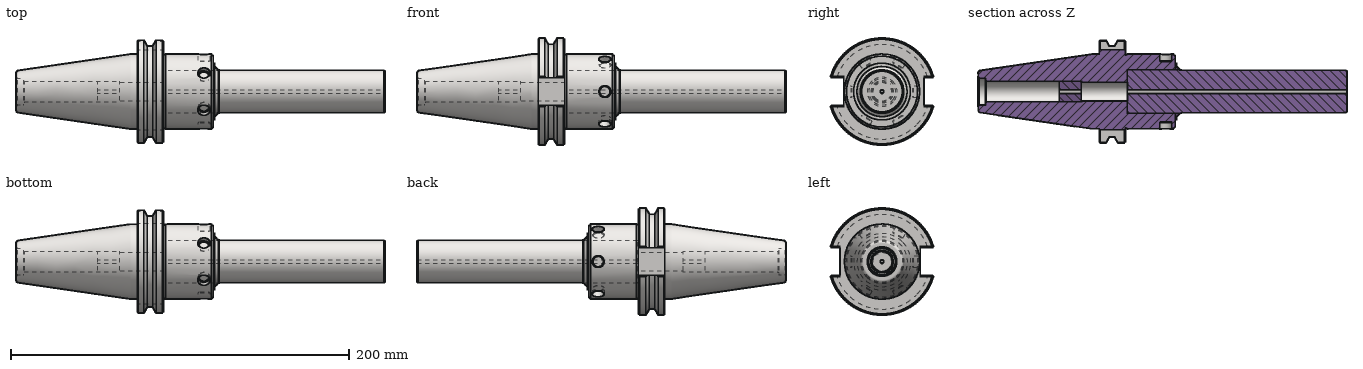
import cadquery as cq
import math

total_length = 218.2
gauge_plane = 67.9
flange_start = 71.5
flange_end = 87.3
nose_face = 116.8
bar_seat = 88.5

gauge_diameter = 44.5
gauge_radius = gauge_diameter / 2
taper_ratio = 7 / 24
small_end_radius = gauge_radius - gauge_plane * taper_ratio / 2
small_end_fillet = 1.7

flange_diameter = 63.5
flange_radius = flange_diameter / 2
flange_chamfer = 0.9
groove_centre = 79.2
groove_floor_radius = 28.2
groove_floor_half_width = 1.5
groove_wall_angle = 30.0
groove_half_width = groove_floor_half_width + (
    (flange_radius - groove_floor_radius) * math.tan(math.radians(groove_wall_angle))
)

slot_width = 16.2
slot_floor_front = 22.7
slot_floor_back = 24.9
slot_cutter_overrun = 2.2

neck_radius = gauge_radius
neck_relief = 0.7
neck_relief_length = 1.3
nose_chamfer = 1.3

radial_hole_count = 6
radial_hole_diameter = 7.0
radial_hole_depth = 4.4
radial_hole_floor_chamfer = 0.5
radial_hole_station = 111.0

mouth_diameter = 17.5
mouth_radius = mouth_diameter / 2
mouth_chamfer = 0.9
counterbore_depth = 4.4
screw_bore_diameter = 12.0
screw_bore_radius = screw_bore_diameter / 2
screw_bore_chamfer = 0.7
screw_start = 48.0
screw_length = 13.0
bore_radius = 5.5
coolant_diameter = 2.0

ring_radius = 16.8
ring_rim_length = 0.9
ring_cone_radius = 14.8
ring_lip_radius = 12.9
ring_lip_length = 0.7

bar_diameter = 25.3
bar_radius = bar_diameter / 2
bar_chamfer = 0.7


def revolve_about_x(profile):
    """Turn a profile drawn as (x, radius) into a solid around the X axis."""
    return profile.close().revolve(360, (0, 0, 0), (1, 0, 0))


def cylinder_along_x(start, end, radius):
    return cq.Workplane("YZ", origin=(start, 0, 0)).circle(radius).extrude(end - start)


def make_core():
    """Taper shank and front cylinder in one turned piece."""
    core = revolve_about_x(
        cq.Workplane("XY")
        .lineTo(0, small_end_radius)
        .lineTo(gauge_plane, gauge_radius)
        .lineTo(flange_end, gauge_radius)
        .lineTo(flange_end, neck_radius - neck_relief)
        .lineTo(flange_end + neck_relief_length, neck_radius)
        .lineTo(nose_face - nose_chamfer, neck_radius)
        .lineTo(nose_face, neck_radius - nose_chamfer)
        .lineTo(nose_face, 0)
    )
    return core.faces("<X").edges().fillet(small_end_fillet)


def make_drive_slot(side, floor):
    """Cutter for one drive slot; side is -1 for -Y and +1 for +Y."""
    reach = flange_radius - floor + slot_cutter_overrun
    centre = ((flange_start + flange_end) / 2, side * (floor + reach / 2), 0)
    return cq.Workplane("XY").box(flange_end - flange_start, reach, slot_width).translate(centre)


def make_grip_groove():
    return revolve_about_x(
        cq.Workplane("XY")
        .moveTo(groove_centre - groove_half_width, flange_radius)
        .lineTo(groove_centre - groove_floor_half_width, groove_floor_radius)
        .lineTo(groove_centre + groove_floor_half_width, groove_floor_radius)
        .lineTo(groove_centre + groove_half_width, flange_radius)
    )


def make_flange():
    flange = cylinder_along_x(flange_start, flange_end, flange_radius)
    flange = flange.cut(make_drive_slot(-1, slot_floor_front))
    flange = flange.cut(make_drive_slot(1, slot_floor_back))
    slot_floor_edges = flange.faces("|Y").edges().vals()
    outer_edges = [
        edge
        for edge in flange.edges().vals()
        if not any(edge.isSame(floor_edge) for floor_edge in slot_floor_edges)
    ]
    flange = flange.newObject(outer_edges).chamfer(flange_chamfer)
    return flange.cut(make_grip_groove())


def make_radial_hole(angle):
    """Cutter for one blind hole, turned about the X axis from the -Y side."""
    hole = (
        cq.Workplane("XZ", origin=(radial_hole_station, radial_hole_depth - neck_radius, 0))
        .circle(radial_hole_diameter / 2)
        .extrude(neck_radius)
        .faces(">Y")
        .chamfer(radial_hole_floor_chamfer)
    )
    return hole.rotate((0, 0, 0), (1, 0, 0), angle)


def make_rear_bore():
    screw_bore_start = counterbore_depth + screw_bore_chamfer
    screw_end = screw_start + screw_length
    return revolve_about_x(
        cq.Workplane("XY")
        .lineTo(0, mouth_radius)
        .lineTo(mouth_chamfer, mouth_radius - mouth_chamfer)
        .lineTo(counterbore_depth, mouth_radius - mouth_chamfer)
        .lineTo(counterbore_depth, screw_bore_radius + screw_bore_chamfer)
        .lineTo(screw_bore_start, screw_bore_radius)
        .lineTo(screw_end, screw_bore_radius)
        .lineTo(screw_end, bore_radius)
        .lineTo(bar_seat, bore_radius)
        .lineTo(bar_seat, 0)
    )


def make_holder():
    holder = make_core().union(make_flange())
    holder = holder.cut(make_rear_bore())
    holder = holder.cut(cylinder_along_x(bar_seat, nose_face, bar_radius))
    for index in range(radial_hole_count):
        holder = holder.cut(make_radial_hole(index * 360 / radial_hole_count))
    return holder


def make_stop_screw():
    screw = cylinder_along_x(screw_start, screw_start + screw_length, screw_bore_radius)
    return screw.faces("<X").workplane().hole(coolant_diameter)


def make_retaining_ring():
    cone_start = nose_face + ring_rim_length
    cone_end = cone_start + ring_cone_radius - ring_lip_radius
    return revolve_about_x(
        cq.Workplane("XY")
        .moveTo(nose_face, bar_radius)
        .lineTo(nose_face, ring_radius)
        .lineTo(cone_start, ring_radius)
        .lineTo(cone_start, ring_cone_radius)
        .lineTo(cone_end, ring_lip_radius)
        .lineTo(cone_end + ring_lip_length, ring_lip_radius)
        .lineTo(cone_end + ring_lip_length, bar_radius)
    )


def make_bar():
    bar = cylinder_along_x(bar_seat, total_length, bar_radius)
    bar = bar.faces(">X").chamfer(bar_chamfer)
    return bar.faces(">X").workplane().hole(coolant_diameter)


holder = make_holder()
stop_screw = make_stop_screw()
retaining_ring = make_retaining_ring()
bar = make_bar()

result = cq.Compound.makeCompound(
    [holder.val(), stop_screw.val(), retaining_ring.val(), bar.val()]
)